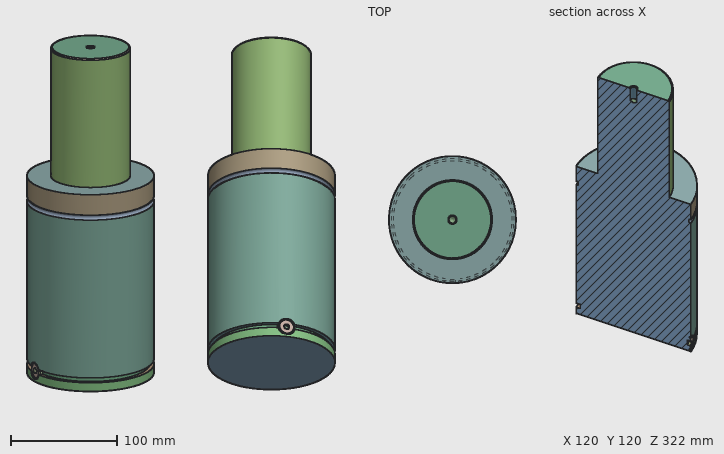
import cadquery as cq
import math

height = 322.0
body_radius = 120.0 / 2
rod_radius = 75.0 / 2
rod_chamfer = 1.3
cap_top_z = 194.8

cap_groove_top = 174.5
cap_groove_bottom = 169.7
cap_groove_depth = 2.3

base_groove_top = 13.5
base_groove_bottom = 8.7
base_groove_depth = 4.2

rod_hole_radius = 6.8 / 2
rod_hole_mouth_radius = 8.5 / 2
rod_hole_depth = 16.0
drill_tip_angle = 118.0

plug_radius = 16.0 / 2
plug_face_radius = 14.0 / 2
plug_z = 10.5
plug_length = 9.5
plug_hole_radius = 5.0 / 2
plug_hole_depth = 3.2


def drilled_hole_cutter():
    """Chamfered blind hole with a conical tip, opening at the rod top."""
    mouth_depth = rod_hole_mouth_radius - rod_hole_radius
    tip_depth = rod_hole_radius / math.tan(math.radians(drill_tip_angle / 2))
    return (
        cq.Workplane("XZ")
        .moveTo(0, height)
        .lineTo(rod_hole_mouth_radius, height)
        .lineTo(rod_hole_radius, height - mouth_depth)
        .lineTo(rod_hole_radius, height - rod_hole_depth)
        .lineTo(0, height - rod_hole_depth - tip_depth)
        .close()
        .revolve(360, (0, 0, 0), (0, 1, 0))
    )


def turned_body():
    """Cylinder, cap and rod as one revolved profile with both grooves."""
    base_floor_radius = body_radius - base_groove_depth
    cap_groove_middle = (cap_groove_top + cap_groove_bottom) / 2
    return (
        cq.Workplane("XZ")
        .lineTo(body_radius, 0)
        .lineTo(body_radius, base_groove_bottom)
        .lineTo(base_floor_radius, base_groove_bottom)
        .lineTo(base_floor_radius, base_groove_top)
        .lineTo(body_radius, base_groove_top)
        .lineTo(body_radius, cap_groove_bottom)
        .threePointArc(
            (body_radius - cap_groove_depth, cap_groove_middle),
            (body_radius, cap_groove_top),
        )
        .lineTo(body_radius, cap_top_z)
        .lineTo(rod_radius, cap_top_z)
        .lineTo(rod_radius, height - rod_chamfer)
        .lineTo(rod_radius - rod_chamfer, height)
        .lineTo(0, height)
        .close()
        .revolve(360, (0, 0, 0), (0, 1, 0))
    )


def fit_plug(body):
    """Set a flat, chamfered plug with a blind hole into the cylinder wall."""
    face_y = -math.sqrt(body_radius**2 - plug_radius**2)
    face_plane = cq.Plane(origin=(0, face_y, plug_z), xDir=(1, 0, 0), normal=(0, -1, 0))
    face = cq.Workplane(face_plane)
    wall_in_front = face.circle(plug_radius).extrude(body_radius + face_y)
    plug = (
        face.circle(plug_radius)
        .extrude(-plug_length)
        .faces("<Y")
        .chamfer(plug_radius - plug_face_radius)
    )
    pocket = face.circle(plug_radius).extrude(-plug_length)
    hole = face.circle(plug_hole_radius).extrude(-plug_hole_depth)
    return body.cut(wall_in_front).cut(pocket).union(plug).cut(hole)


result = fit_plug(turned_body().cut(drilled_hole_cutter()))